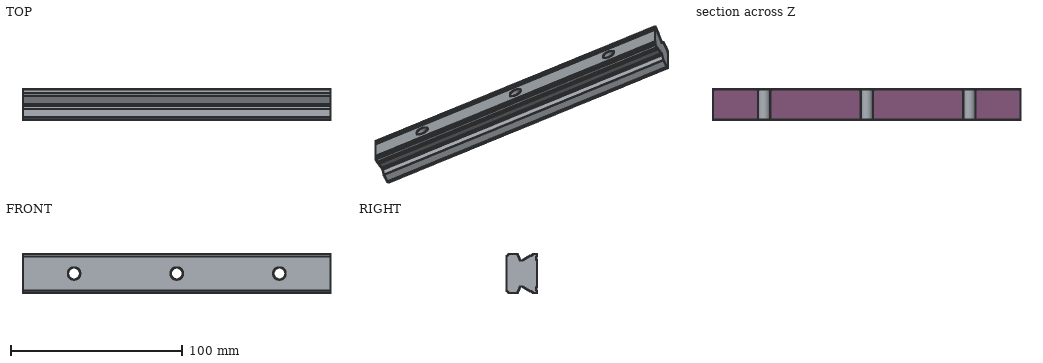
import cadquery as cq

length = 180.0
width = 18.0
height = 23.0
half_width = width / 2
half_height = height / 2

base_chamfer = 1.6

wall_top_y = -2.5
floor_front_y = -0.9
floor_back_y = 0.4
floor_z = 7.7
ramp_top_y = 4.9
ramp_top_z = 10.5

lip_front_y = 6.7
lip_radius = 1.8
lip_chamfer = 0.4
relief_depth = 0.5
relief_top_z = 9.7
relief_bottom_z = 8.0
relief_slope = 0.4

hole_diameter = 7.0
hole_count = 3
hole_pitch = length / hole_count


def upper_half_section():
    """Upper half of the constant cross-section, with its flat on the middle plane."""
    relief_y = half_width - relief_depth
    return (
        cq.Workplane("YZ")
        .moveTo(-half_width, 0)
        .lineTo(-half_width, half_height - base_chamfer)
        .lineTo(-half_width + base_chamfer, half_height)
        .lineTo(wall_top_y, half_height)
        .lineTo(floor_front_y, floor_z)
        .lineTo(floor_back_y, floor_z)
        .lineTo(ramp_top_y, ramp_top_z)
        .radiusArc((lip_front_y, half_height), -lip_radius)
        .lineTo(half_width - lip_chamfer, half_height)
        .lineTo(half_width, half_height - lip_chamfer)
        .lineTo(half_width, relief_top_z + relief_slope)
        .lineTo(relief_y, relief_top_z)
        .lineTo(relief_y, relief_bottom_z + relief_slope)
        .lineTo(half_width, relief_bottom_z)
        .lineTo(half_width, 0)
        .close()
    )


def mounting_holes():
    """Evenly spaced cylinders running through the full width."""
    return (
        cq.Workplane("XZ")
        .rarray(hole_pitch, 1.8, hole_count, 1)
        .circle(hole_diameter / 2)
        .extrude(half_width, both=True)
    )


upper_half = upper_half_section().extrude(length / 2, both=True)
rail = upper_half.union(upper_half.mirror("XY"))
result = rail.cut(mounting_holes())